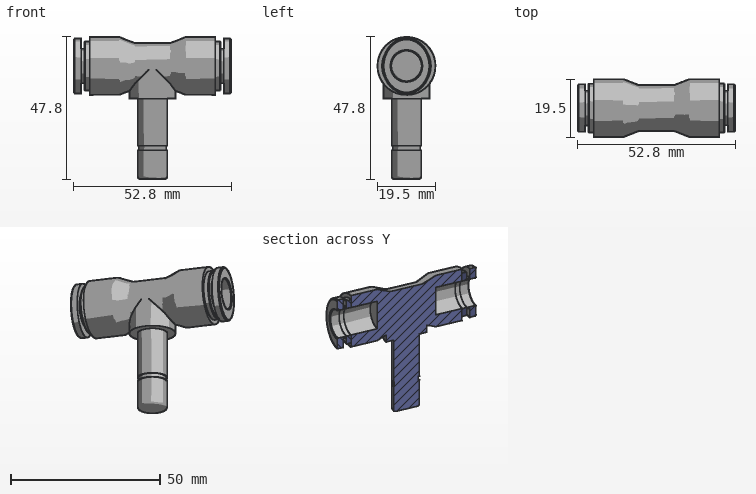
import cadquery as cq


end_diameter = 19.5
waist_diameter = 15.5
body_end_x = 21.1
cone_outer_x = 11.1
cone_inner_x = 6.0
cone_blend_radius = 1.0
tube_bore_diameter = 10.15
tube_stop_x = cone_outer_x

branch_diameter = waist_diameter
branch_depth = 11.0
stem_diameter = 10.0
stem_depth = 38.0
stem_tip_radius = 1.0
groove_diameter = 9.3
groove_top_depth = 26.8
groove_width = 1.4

guide_diameter = 16.5
guide_length = 1.75
guide_chamfer = 0.3
guide_face_x = body_end_x + guide_length

entry_bore_diameter = 10.2

sleeve_end_x = 26.4
flange_thickness = 2.45
flange_width_y = 16.0
flange_height_z = 18.5
flange_chamfer = 0.4
neck_diameter = 11.7
mouth_chamfer = 0.3
flange_back_x = sleeve_end_x - flange_thickness


def cylinder_x(diameter, start_x, end_x):
    """Solid cylinder on the X axis between two stations."""
    return cq.Workplane("YZ", origin=(start_x, 0, 0)).circle(diameter / 2).extrude(end_x - start_x)


def cylinder_down(diameter, top_depth, bottom_depth):
    """Solid cylinder on the Z axis between two depths below the tee centre."""
    plane = cq.Workplane("XY", origin=(0, 0, -bottom_depth))
    return plane.circle(diameter / 2).extrude(bottom_depth - top_depth)


def on_end(part, turn):
    """Turn a part made for the +X end about Z onto the wanted run end."""
    return part.rotate((0, 0, 0), (0, 0, 1), turn)


def make_run():
    """Run of the tee: two wide ends tapering to the waist, with blended taper edges."""
    end_radius = end_diameter / 2
    waist_radius = waist_diameter / 2
    run = (
        cq.Workplane("XY")
        .moveTo(-body_end_x, 0)
        .lineTo(-body_end_x, end_radius)
        .lineTo(-cone_outer_x, end_radius)
        .lineTo(-cone_inner_x, waist_radius)
        .lineTo(cone_inner_x, waist_radius)
        .lineTo(cone_outer_x, end_radius)
        .lineTo(body_end_x, end_radius)
        .lineTo(body_end_x, 0)
        .close()
        .revolve(360, (0, 0, 0), (1, 0, 0))
    )
    box_reach = (cone_outer_x + body_end_x) / 2
    taper_zone = cq.selectors.BoxSelector(
        (-box_reach, -end_diameter, -end_diameter),
        (box_reach, end_diameter, end_diameter),
    )
    return run.edges("%CIRCLE").edges(taper_zone).fillet(cone_blend_radius)


def make_stem():
    """Plug-in stem with a rounded tip and a shallow ring groove."""
    stem = cylinder_down(stem_diameter, 0, stem_depth)
    stem = stem.faces("<Z").edges().fillet(stem_tip_radius)
    groove_bottom_depth = groove_top_depth + groove_width
    groove = cylinder_down(stem_diameter, groove_top_depth, groove_bottom_depth).cut(
        cylinder_down(groove_diameter, groove_top_depth, groove_bottom_depth)
    )
    return stem.cut(groove)


def make_tee():
    """Tee body: run, branch and stem, with a blind tube bore in each run end."""
    tee = make_run().union(cylinder_down(branch_diameter, 0, branch_depth)).union(make_stem())
    bore = cylinder_x(tube_bore_diameter, tube_stop_x, body_end_x)
    for turn in (0, 180):
        tee = tee.cut(on_end(bore, turn))
    return tee


def make_guide():
    """Guide ring for the +X end, chamfered on its outer rim."""
    ring = cylinder_x(guide_diameter, body_end_x, guide_face_x)
    ring = ring.faces(">X").edges().chamfer(guide_chamfer)
    return ring.cut(cylinder_x(entry_bore_diameter, body_end_x, guide_face_x))


def make_sleeve():
    """Release sleeve for the +X end: oval flange, round neck and tube bore."""
    flange = (
        cq.Workplane("YZ", origin=(flange_back_x, 0, 0))
        .ellipse(flange_width_y / 2, flange_height_z / 2)
        .extrude(flange_thickness)
        .faces(">X")
        .edges()
        .chamfer(flange_chamfer)
    )
    neck = cylinder_x(neck_diameter, guide_face_x, flange_back_x)
    bore = cylinder_x(entry_bore_diameter, guide_face_x, sleeve_end_x)
    sleeve = flange.union(neck).cut(bore)
    return sleeve.faces(">X").edges("%CIRCLE").chamfer(mouth_chamfer)


tee = make_tee()
guides = []
sleeves = []
for turn in (0, 180):
    guides.append(on_end(make_guide(), turn))
    sleeves.append(on_end(make_sleeve(), turn))

result = cq.Compound.makeCompound(
    [
        tee.val(),
        *[guide.val() for guide in guides],
        *[sleeve.val() for sleeve in sleeves],
    ]
)